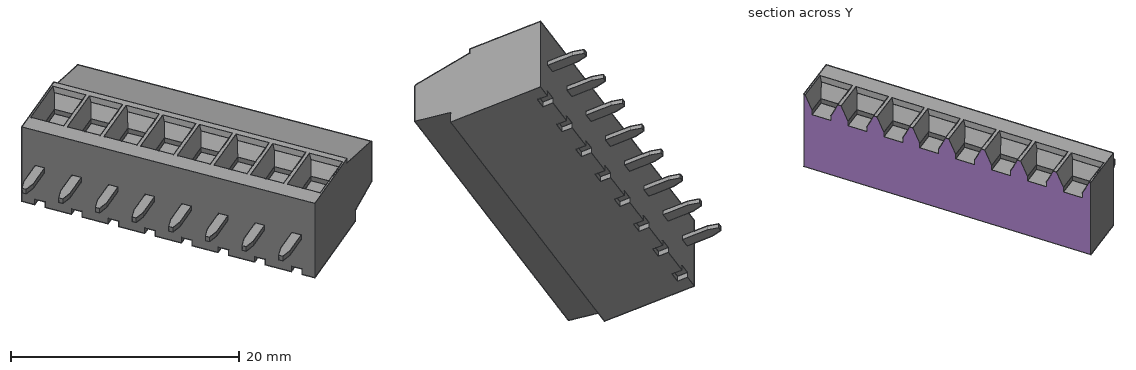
import cadquery as cq

POLES = 8
PITCH = 3.5
LENGTH = POLES * PITCH
PIN_LENGTH = 3.5
BODY_DEPTH = 12.6
HEIGHT = 8.2

TOP_DEPTH = 7.1
TOP_STEP = 0.5
BASE_DEPTH = 9.0
BASE_STEP = 1.2
BACK_INSET = 1.85
BACK_BOTTOM = BACK_INSET
BACK_TOP = HEIGHT - BACK_INSET
BACK_EDGE_RADIUS = 0.3

FUNNEL_WIDTH = 3.15
FUNNEL_DEPTH = 4.9
FUNNEL_FRONT = 1.6
FUNNEL_DROP = 1.5
FUNNEL_CENTER = FUNNEL_FRONT + FUNNEL_DEPTH / 2
STEEP_DROP = 0.5
STEEP_INSET = 0.2
WELL_WIDTH = 1.8
WELL_DEPTH = 2.5
WELL_DROP = 0.5

PIN_WIDTH = 0.9
PIN_THICKNESS = 0.5
PIN_TIP_WIDTH = 0.4
PIN_TIP_LENGTH = 1.0
PIN_Z = HEIGHT / 2
PIN_EMBED = 1.0

NOTCH_WIDTH = 1.0
NOTCH_HEIGHT = 0.6
NOTCH_DEPTH = 1.0


def make_housing():
    """Stepped section extruded along X, with the upper back edge rounded."""
    section = [
        (0, 0),
        (BASE_DEPTH, 0),
        (BASE_DEPTH, BASE_STEP),
        (BODY_DEPTH, BACK_BOTTOM),
        (BODY_DEPTH, BACK_TOP),
        (TOP_DEPTH, HEIGHT - TOP_STEP),
        (TOP_DEPTH, HEIGHT),
        (0, HEIGHT),
    ]
    housing = cq.Workplane("YZ").polyline(section).close().extrude(LENGTH)
    edge_point = (LENGTH / 2, BODY_DEPTH, BACK_TOP)
    return housing.edges(cq.selectors.NearestToPointSelector(edge_point)).fillet(BACK_EDGE_RADIUS)


def rectangular_frustum(x, top_z, top_size, bottom_z, bottom_size):
    """Ruled solid between two centred rectangles in the funnel of the pole at x."""
    return (
        cq.Workplane("XY", origin=(x, FUNNEL_CENTER, top_z))
        .rect(*top_size)
        .workplane(offset=bottom_z - top_z)
        .rect(*bottom_size)
        .loft(ruled=True)
    )


def make_funnel(x):
    """Cavity of one screw funnel and the well under it."""
    steep_z = HEIGHT - STEEP_DROP
    funnel_z = HEIGHT - FUNNEL_DROP
    narrowing = (FUNNEL_WIDTH - WELL_WIDTH) * STEEP_DROP / FUNNEL_DROP
    mouth = (FUNNEL_WIDTH, FUNNEL_DEPTH)
    steep_end = (FUNNEL_WIDTH - narrowing, FUNNEL_DEPTH - 2 * STEEP_INSET)
    well_size = (WELL_WIDTH, WELL_DEPTH)
    upper = rectangular_frustum(x, HEIGHT, mouth, steep_z, steep_end)
    lower = rectangular_frustum(x, steep_z, steep_end, funnel_z, well_size)
    well = rectangular_frustum(x, funnel_z, well_size, funnel_z - WELL_DROP, well_size)
    return upper.union(lower).union(well)


def make_pin(x):
    """Flat pin pointing toward -Y, rooted inside the housing."""
    shoulder_y = PIN_TIP_LENGTH - PIN_LENGTH
    outline = [
        (-PIN_WIDTH / 2, PIN_EMBED),
        (-PIN_WIDTH / 2, shoulder_y),
        (-PIN_TIP_WIDTH / 2, -PIN_LENGTH),
        (PIN_TIP_WIDTH / 2, -PIN_LENGTH),
        (PIN_WIDTH / 2, shoulder_y),
        (PIN_WIDTH / 2, PIN_EMBED),
    ]
    pin = cq.Workplane("XY", origin=(x, 0, PIN_Z - PIN_THICKNESS / 2))
    return pin.polyline(outline).close().extrude(PIN_THICKNESS)


def make_notch(x):
    """Cutter for one notch, open to the front face and the underside."""
    notch = cq.Workplane("XY").box(NOTCH_WIDTH, NOTCH_DEPTH, NOTCH_HEIGHT, centered=(True, False, False))
    return notch.translate((x, 0, 0))


result = make_housing()
for pole in range(POLES):
    pole_x = (pole + 0.5) * PITCH
    result = result.cut(make_funnel(pole_x))
    result = result.cut(make_notch(pole_x))
    result = result.union(make_pin(pole_x))